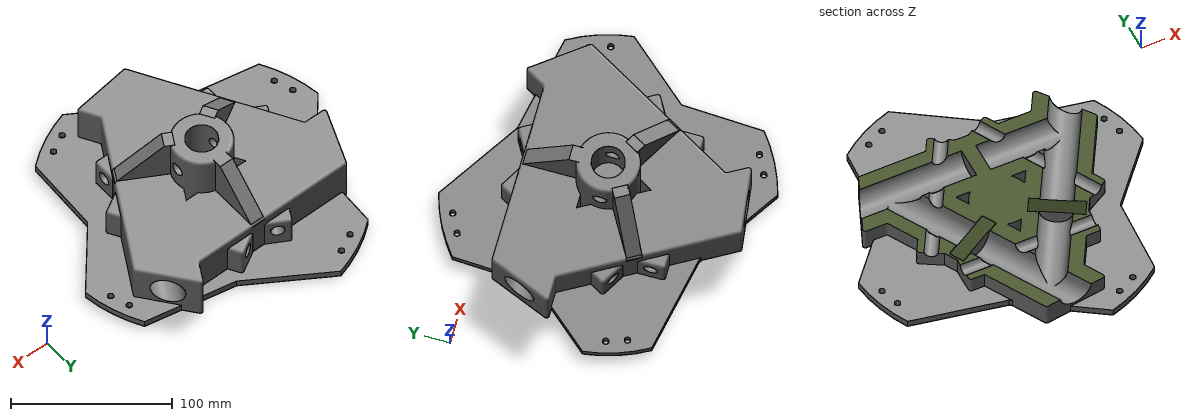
import cadquery as cq
import math

ARM_TURNS = (0, 120, 240)
total_height = 62.0
edge_radius = 1.9

plate_thickness = 5.0
plate_turn = -22
tip_radius = 105.0
tip_angle = 40.8
tip_half_angle = 11.8
long_waist_radius = 74.2
short_waist_radius = 71.0
screw_diameter = 4.0
screw_circle_radius = 97.1
screw_half_angle = 4

housing_height = 32.3
wall_distance = 55.0
opening_distance = 13.8
opening_corner_radius = 2 * opening_distance
arm_tip_outer = 71.3
arm_tip_inner = 88.4

bore_diameter = 21.0
bore_height = 17.3
bore_distance = 34.8
bore_end = bore_distance * math.tan(math.radians(60))
bolt_diameter = 9.0
bolt_distance = 40.0

lug_height = 25.6
lug_reach = 45.5
lug_outer_distance = 49.2
lug_inner_distance = 31.7
lug_width = lug_outer_distance - lug_inner_distance

hub_diameter = 40.0
cross_hole_height = 47.0

rib_width = 10.0
rib_inner_reach = 17.3
rib_top_reach = 24.0
rib_foot_height = total_height - (wall_distance - rib_top_reach)
rib_root_reach = wall_distance - edge_radius
rib_root_height = housing_height - edge_radius
side_rib_angle = 120
side_rib_shift = 3.0

through_length = 250.1


def polar(radius, angle):
    turn = math.radians(angle)
    return (radius * math.cos(turn), radius * math.sin(turn))


def turned(shape, angle):
    return shape.rotate((0, 0, 0), (0, 0, 1), angle)


def is_outside_opening(edge):
    """True for edges whose middle is farther out than the corners of the triangular opening."""
    center = edge.Center()
    return math.hypot(center.x, center.y) > opening_corner_radius + edge_radius


def x_cylinder(diameter, y, z, start, end):
    """Cylinder along X between two X positions."""
    profile = cq.Workplane("YZ", origin=(start, 0, 0)).center(y, z).circle(diameter / 2)
    return profile.extrude(end - start)


def make_plate():
    tips = (tip_angle, 180 - tip_angle, 180 + tip_angle, 360 - tip_angle)
    waists = (short_waist_radius, long_waist_radius) * 2
    outline = cq.Workplane().moveTo(*polar(long_waist_radius, plate_turn))
    screw_points = []
    for index, (tip, waist_radius) in enumerate(zip(tips, waists)):
        middle = tip + plate_turn
        waist_angle = 90 * (index + 1) + plate_turn
        outline = outline.lineTo(*polar(tip_radius, middle - tip_half_angle))
        outline = outline.threePointArc(
            polar(tip_radius, middle),
            polar(tip_radius, middle + tip_half_angle),
        )
        if index < len(tips) - 1:
            outline = outline.lineTo(*polar(waist_radius, waist_angle))
        for side in (-1, 1):
            screw_points.append(polar(screw_circle_radius, middle + side * screw_half_angle))
    plate = outline.close().extrude(plate_thickness)
    screws = cq.Workplane().pushPoints(screw_points).circle(screw_diameter / 2)
    return plate.cut(screws.extrude(plate_thickness))


def make_arm():
    """Arm along -X with a slanted end; its inner end lies inside the next arm."""
    return (
        cq.Workplane()
        .polyline([
            (-arm_tip_outer, wall_distance),
            (-arm_tip_inner, opening_distance),
            (bore_end, opening_distance),
            (bore_end, wall_distance),
        ])
        .close()
        .extrude(housing_height)
    )


def make_housing():
    housing = make_arm()
    for angle in ARM_TURNS[1:]:
        housing = housing.union(turned(make_arm(), angle))
    outer_corners = housing.edges("|Z").filter(is_outside_opening)
    housing = outer_corners.fillet(edge_radius)
    outer_top = housing.faces(">Z").edges().filter(is_outside_opening)
    return outer_top.fillet(edge_radius)


def make_lug_bar():
    """Bar whose two ends stick out through the walls as bolt lugs."""
    bar = cq.Workplane().box(2 * lug_reach, lug_width, lug_height, centered=(True, True, False))
    bar = bar.translate((0, -(lug_outer_distance + lug_inner_distance) / 2, 0))
    bar = bar.edges("|Z and <Y").fillet(edge_radius)
    return bar.faces(">Z").edges().fillet(edge_radius)


def make_opening():
    corners = [polar(opening_corner_radius, angle) for angle in (30, 150, 270)]
    return cq.Workplane().polyline(corners).close().extrude(housing_height)


def make_hub():
    hub = cq.Workplane().circle(hub_diameter / 2).extrude(total_height)
    return hub.faces(">Z").edges().fillet(edge_radius)


def make_hub_holes():
    """Blind bore down to the housing top, and a cross hole along X."""
    bore = cq.Workplane(origin=(0, 0, housing_height)).circle(bore_diameter / 2)
    half = hub_diameter / 2
    cross_hole = x_cylinder(bolt_diameter, 0, cross_hole_height, -half, half)
    return bore.extrude(total_height - housing_height).union(cross_hole)


def make_rib(angle, shift):
    """Sloped rib whose root reaches down to the plate, closing the socket behind it."""
    profile = cq.Workplane("YZ").polyline([
        (rib_inner_reach, total_height),
        (rib_top_reach, total_height),
        (wall_distance, rib_foot_height),
        (wall_distance, rib_root_height),
        (rib_root_reach, rib_root_height),
        (rib_root_reach, plate_thickness),
        (rib_inner_reach, plate_thickness),
    ])
    rib = profile.close().extrude(rib_width / 2, both=True)
    return turned(rib.translate((shift, 0, 0)), angle)


def make_main_body():
    """Plate, housing, lugs, hub and the rib on the +Y side, in one piece."""
    body = make_plate().cut(make_opening()).union(make_housing())
    for angle in ARM_TURNS:
        body = body.union(turned(make_lug_bar(), angle))
    body = body.union(make_hub())

    half = through_length / 2
    socket = x_cylinder(bore_diameter, bore_distance, bore_height, -half, bore_end)
    bolt = x_cylinder(bolt_diameter, -bolt_distance, bore_height, -half, half)
    for angle in ARM_TURNS:
        body = body.cut(turned(socket, angle)).cut(turned(bolt, angle))
    return body.cut(make_hub_holes()).union(make_rib(0, 0))


side_ribs = [make_rib(side * side_rib_angle, -side * side_rib_shift) for side in (1, -1)]

main_body = make_main_body()
for side_rib in side_ribs:
    main_body = main_body.cut(side_rib)

result = cq.Compound.makeCompound([main_body.solids().val(), *[rib.val() for rib in side_ribs]])